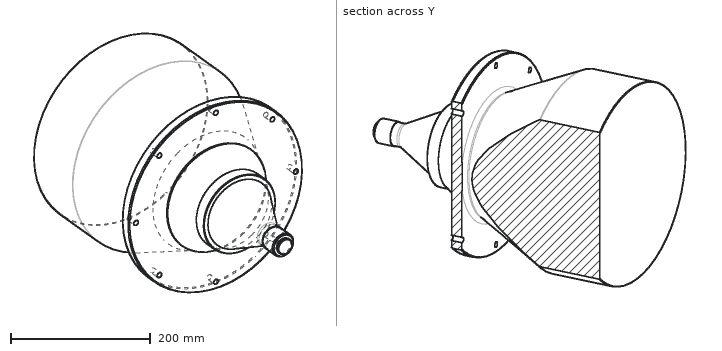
import cadquery as cq
import math

length = 424.5
drum_end = 99.3
front_cone_start = 100.5
front_cone_end = 219.0
neck_end = 221.5
flange_start = 228.0
flange_end = 245.5
flange_hub_end = 248.2
collar_start = 287.5
collar_end = 306.8
rear_cone_end = 378.5
stem_start = 382.5
plug_start = 392.5
plug_end = 419.5
tip_root_end = 421.0

drum_diameter = 300.0
drum_radius = drum_diameter / 2
front_cone_radius = 149.8
front_cone_end_radius = 94.5
neck_radius = 94.0
flange_radius = drum_radius
hub_radius = 85.0
collar_radius = 62.0
rear_cone_radius = 54.7
rear_cone_end_radius = 18.2
stem_radius = 17.5
plug_radius = 18.2
tip_radius = 12.5
tip_root_radius = 12.0

neck_fillet = flange_start - neck_end
flange_chamfer = 1.3
flange_rear_chamfer_length = 2.5
plug_chamfer = 1.5
tip_chamfer = 1.0
collar_chamfer = 1.0
drum_chamfer = 1.0

bolt_count = 8
bolt_circle_radius = 138.0
bolt_hole_diameter = 7.5


def revolved_body():
    """Solid of revolution about X, from the drum to the plug tip."""
    fillet_mid_x = neck_end + neck_fillet * math.sin(math.pi / 4)
    fillet_mid_radius = neck_radius + neck_fillet * (1 - math.cos(math.pi / 4))
    profile = (
        cq.Workplane("XZ")
        .lineTo(0, drum_radius - drum_chamfer)
        .lineTo(drum_chamfer, drum_radius)
        .lineTo(drum_end, drum_radius)
        .tangentArcPoint((front_cone_start, front_cone_radius), relative=False)
        .lineTo(front_cone_end, front_cone_end_radius)
        .tangentArcPoint((neck_end, neck_radius), relative=False)
        .threePointArc((fillet_mid_x, fillet_mid_radius), (flange_start, neck_radius + neck_fillet))
        .lineTo(flange_start, flange_radius - flange_chamfer)
        .lineTo(flange_start + flange_chamfer, flange_radius)
        .lineTo(flange_end - flange_rear_chamfer_length, flange_radius)
        .lineTo(flange_end, flange_radius - flange_chamfer)
        .lineTo(flange_end, hub_radius)
        .lineTo(flange_hub_end, hub_radius)
        .lineTo(collar_start, collar_radius)
        .lineTo(collar_end - collar_chamfer, collar_radius)
        .lineTo(collar_end, collar_radius - collar_chamfer)
        .lineTo(collar_end, rear_cone_radius)
        .lineTo(rear_cone_end, rear_cone_end_radius)
        .tangentArcPoint((stem_start, stem_radius), relative=False)
        .lineTo(plug_start, stem_radius)
        .lineTo(plug_start, plug_radius)
        .lineTo(plug_end - plug_chamfer, plug_radius)
        .lineTo(plug_end, plug_radius - plug_chamfer)
        .lineTo(plug_end, tip_root_radius)
        .lineTo(tip_root_end, tip_root_radius)
        .lineTo(tip_root_end, tip_radius)
        .lineTo(length - tip_chamfer, tip_radius)
        .lineTo(length, tip_radius - tip_chamfer)
        .lineTo(length, 0)
        .close()
    )
    return profile.revolve(360, (0, 0, 0), (1, 0, 0))


def bolt_holes():
    """Ring of holes through the flange."""
    return (
        cq.Workplane("YZ", origin=(flange_start, 0, 0))
        .polarArray(bolt_circle_radius, 0, 360, bolt_count)
        .circle(bolt_hole_diameter / 2)
        .extrude(flange_end - flange_start)
    )


result = revolved_body().cut(bolt_holes())